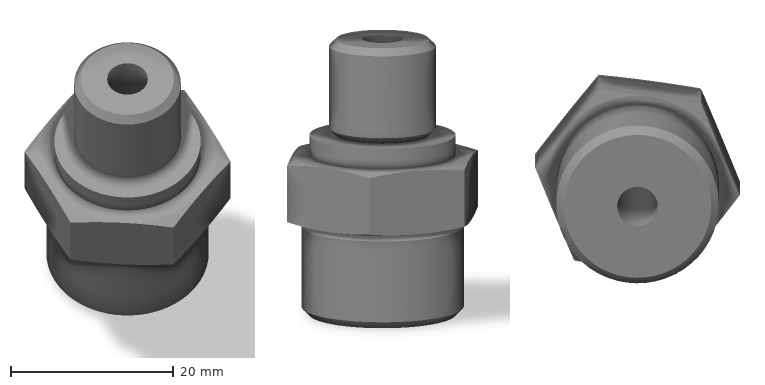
import cadquery as cq
import math

total_height = 34.5
bore_diameter = 5.0

lower_diameter = 20.0
lower_end_diameter = 18.15
lower_height = 12.0
lower_chamfer_height = 0.93

hex_across_flats = 22.0
hex_height = 8.0
hex_chamfer_angle = 15.0

collar_diameter = 18.0
collar_height = 2.5

upper_diameter = 13.15
upper_end_diameter = 11.45
upper_chamfer_height = 0.85

hex_top = lower_height + hex_height
collar_top = hex_top + collar_height
upper_height = total_height - collar_top


def double_chamfered_cylinder(base_z, height, diameter, end_diameter, chamfer_height):
    """Vertical cylinder tapered to end_diameter at both ends."""
    radius = diameter / 2
    end_radius = end_diameter / 2
    return (
        cq.Workplane("XZ")
        .moveTo(0, base_z)
        .lineTo(end_radius, base_z)
        .lineTo(radius, base_z + chamfer_height)
        .lineTo(radius, base_z + height - chamfer_height)
        .lineTo(end_radius, base_z + height)
        .lineTo(0, base_z + height)
        .close()
        .revolve(360, (0, 0, 0), (0, 1, 0))
    )


def chamfered_hex():
    """Hexagon with flats facing +X and -X, its corners trimmed by cones."""
    corner_diameter = hex_across_flats / math.cos(math.radians(30))
    corner_overhang = (corner_diameter - hex_across_flats) / 2
    corner_drop = corner_overhang * math.tan(math.radians(hex_chamfer_angle))
    prism = (
        cq.Workplane("XY")
        .workplane(offset=lower_height)
        .polygon(6, corner_diameter)
        .extrude(hex_height)
        .rotate((0, 0, 0), (0, 0, 1), 30)
    )
    envelope = double_chamfered_cylinder(
        lower_height, hex_height, corner_diameter, hex_across_flats, corner_drop
    )
    return prism.intersect(envelope)


lower_stud = double_chamfered_cylinder(
    0, lower_height, lower_diameter, lower_end_diameter, lower_chamfer_height
)
collar = cq.Workplane("XY").workplane(offset=hex_top).circle(collar_diameter / 2).extrude(collar_height)
upper_stud = double_chamfered_cylinder(
    collar_top, upper_height, upper_diameter, upper_end_diameter, upper_chamfer_height
)
bore = cq.Workplane("XY").circle(bore_diameter / 2).extrude(total_height)

result = lower_stud.union(chamfered_hex()).union(collar).union(upper_stud).cut(bore)